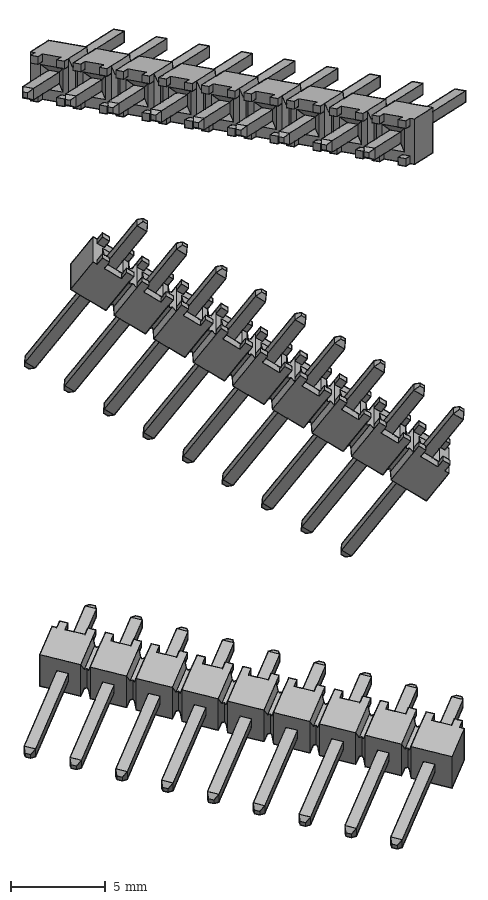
import cadquery as cq

pin_count = 9
total_length = 22.85
pitch = total_length / pin_count
row_end = total_length / 2

body_height = pitch
body_depth = 2.08
block_width = 2.01
block_half = block_width / 2
gap_width = pitch - block_width

groove_depth = gap_width / 2
neck_taper = 0.149
neck_height = 1.55

foot_width = 0.45
foot_height = 0.43
foot_length = 0.48

pin_width = 0.65
pin_front_length = 3.0
pin_back_length = 5.85
tip_length = 0.32
tip_width = 0.3

funnel_opening = 1.33
funnel_depth = 0.25

front_y = -body_depth / 2
back_y = body_depth / 2
pin_centers = [(i - (pin_count - 1) / 2) * pitch for i in range(pin_count)]


def cross_axis(direction):
    """Horizontal axis perpendicular to a direction along X or Y."""
    return (direction[1], direction[0], 0)


def frustum(start, direction, start_size, end_size, length):
    """Rectangular frustum growing from start along direction."""
    plane = cq.Plane(origin=start, xDir=cross_axis(direction), normal=direction)
    return (
        cq.Workplane(plane)
        .rect(*start_size)
        .workplane(offset=length)
        .rect(*end_size)
        .loft(ruled=True)
    )


def block(index):
    """One insulator block; the end blocks reach out to the row ends."""
    left = -row_end if index == 0 else pin_centers[index] - block_half
    right = row_end if index == pin_count - 1 else pin_centers[index] + block_half
    return (
        cq.Workplane("XY")
        .box(right - left, body_depth, body_height)
        .translate(((left + right) / 2, 0, 0))
    )


def neck(x):
    """Waisted link centred at x: V-grooved front and back, trapezoidal notches above and below."""
    half_gap = gap_width / 2
    half_flat = half_gap - neck_taper
    plan = (
        cq.Workplane("XY", origin=(x, 0, -body_height / 2))
        .moveTo(-half_gap, front_y)
        .lineTo(0, front_y + groove_depth)
        .lineTo(half_gap, front_y)
        .lineTo(half_gap, back_y)
        .lineTo(0, back_y - groove_depth)
        .lineTo(-half_gap, back_y)
        .close()
        .extrude(body_height)
    )
    elevation = (
        cq.Workplane("XZ", origin=(x, back_y, 0))
        .moveTo(-half_gap, body_height / 2)
        .lineTo(-half_flat, neck_height / 2)
        .lineTo(half_flat, neck_height / 2)
        .lineTo(half_gap, body_height / 2)
        .lineTo(half_gap, -body_height / 2)
        .lineTo(half_flat, -neck_height / 2)
        .lineTo(-half_flat, -neck_height / 2)
        .lineTo(-half_gap, -body_height / 2)
        .close()
        .extrude(body_depth)
    )
    return plan.intersect(elevation)


def feet(x):
    """Four stand-off feet, flush with the corners of a standard-width block."""
    return (
        cq.Workplane("XZ", origin=(x, front_y, 0))
        .rect(block_width - foot_width, body_height - foot_height, forConstruction=True)
        .vertices()
        .rect(foot_width, foot_height)
        .extrude(foot_length)
    )


def pin(x):
    """Square pin through the body with a tapered tip at both ends."""
    square = (pin_width, pin_width)
    tip = (tip_width, tip_width)
    tip_start_front = front_y - pin_front_length + tip_length
    tip_start_back = back_y + pin_back_length - tip_length
    shaft_length = tip_start_back - tip_start_front
    shaft = frustum((x, tip_start_front, 0), (0, 1, 0), square, square, shaft_length)
    front_tip = frustum((x, tip_start_front, 0), (0, -1, 0), square, tip, tip_length)
    back_tip = frustum((x, tip_start_back, 0), (0, 1, 0), square, tip, tip_length)
    return shaft.union(front_tip).union(back_tip)


def funnel(x):
    """Lead-in cavity that narrows from the front face down to the pin."""
    opening = (funnel_opening, funnel_opening)
    bottom = (pin_width, pin_width)
    return frustum((x, front_y, 0), (0, 1, 0), opening, bottom, funnel_depth)


body = block(0)
for index in range(1, pin_count):
    body = body.union(neck(pin_centers[index] - pitch / 2))
    body = body.union(block(index))

for x in pin_centers:
    body = body.union(feet(x)).cut(funnel(x))

result = body
for x in pin_centers:
    result = result.union(pin(x))